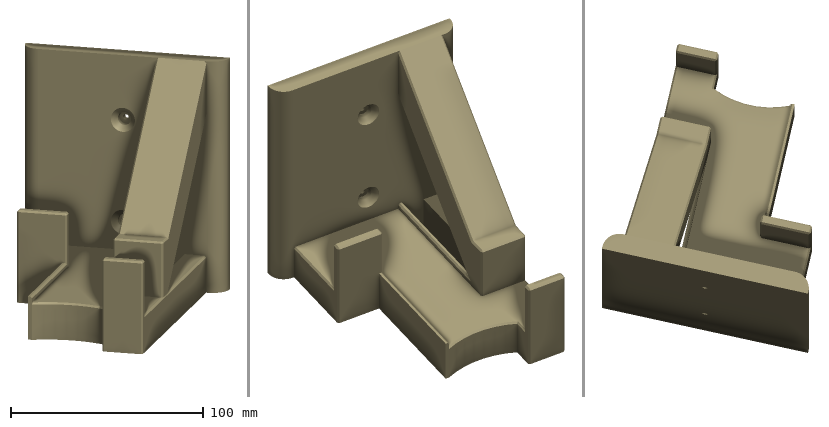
import cadquery as cq
import math

plate_width = 110.0
plate_height = 125.0
plate_thickness = 10.0
plate_round = 9.0

overall_depth = 135.0
side_inset = 10.0
shelf_half_width = plate_width / 2 - side_inset
shelf_top = 20.0
peg_top = 50.0
peg_thickness = 5.0
left_peg_width = 27.0
left_peg_front = 55.0
right_peg_width = 22.0
edge_break = 1.0

arm_front = 123.0
recess_depth = 4.5

rim_top = 23.4
rim_width = 2.2

brace_width = 27.0
brace_thickness = 20.2
brace_knee = 85.0
brace_front = 95.0
slot_width = 13.2

hole_diameter = 3.0
step_diameter = 7.0
sink_diameter = 13.0
step_depth = 6.0
hole_heights = (35.0, 90.0)

shelf_left = -shelf_half_width
shelf_right = shelf_half_width
rim_right = shelf_left + left_peg_width
rim_left = rim_right - rim_width
right_peg_left = shelf_right - right_peg_width
brace_left = shelf_right - brace_width
brace_drop = brace_thickness * math.sqrt(2)
brace_foot = plate_thickness + plate_height - brace_drop - shelf_top


def block(x_min, x_max, front, back, z_min, z_max):
    """Box between two X limits, two distances from the wall and two heights."""
    size = (x_max - x_min, front - back, z_max - z_min)
    return cq.Workplane("XY").box(*size, centered=False).translate((x_min, -front, z_min))


def make_plate():
    plate = block(-plate_width / 2, plate_width / 2, plate_thickness, 0, 0, plate_height)
    return plate.edges("|Z and <Y").fillet(plate_round)


def make_shelf():
    recess_middle = (rim_right + right_peg_left) / 2
    shelf = (
        cq.Workplane("XY")
        .moveTo(shelf_left, -plate_thickness)
        .lineTo(shelf_left, -left_peg_front + edge_break)
        .lineTo(shelf_left + edge_break, -left_peg_front)
        .lineTo(rim_left, -left_peg_front)
        .lineTo(rim_left, -arm_front)
        .lineTo(rim_right, -arm_front)
        .threePointArc((recess_middle, -arm_front + recess_depth), (right_peg_left, -arm_front))
        .lineTo(right_peg_left, -overall_depth + edge_break)
        .lineTo(shelf_right, -overall_depth + edge_break)
        .lineTo(shelf_right, -plate_thickness)
        .close()
        .extrude(shelf_top)
    )
    curved_edge = shelf.edges("%CIRCLE and >Z").vals()
    step_middle = (arm_front + overall_depth) / 2
    step_edge = shelf.edges(cq.NearestToPointSelector((right_peg_left, -step_middle, shelf_top))).vals()
    side_edges = shelf.faces("<X or >X").edges(">Z").vals()
    shelf = shelf.newObject(curved_edge + step_edge + side_edges).chamfer(edge_break)
    slot_left = brace_left + rim_width
    return shelf.cut(block(slot_left, slot_left + slot_width, brace_foot, plate_thickness, 0, shelf_top))


def make_peg(x_min, x_max, front):
    peg = block(x_min, x_max, front, front - peg_thickness, 0, peg_top)
    return peg.edges("|Z or >Z").chamfer(edge_break)


def make_left_rim():
    rim = block(rim_left, rim_right, arm_front, left_peg_front - peg_thickness / 2, 0, rim_top)
    return rim.edges(">Z and >X").chamfer(edge_break)


def make_slot_rim():
    rim = block(brace_left, brace_left + rim_width, brace_foot, plate_thickness, 0, rim_top)
    return rim.edges(">Z and <X").chamfer(edge_break)


def make_brace():
    brace = (
        cq.Workplane("YZ")
        .moveTo(-plate_thickness, plate_height)
        .lineTo(-brace_knee, peg_top)
        .lineTo(-brace_front, peg_top)
        .lineTo(-brace_front, shelf_top)
        .lineTo(-brace_foot, shelf_top)
        .lineTo(-plate_thickness, plate_height - brace_drop)
        .close()
        .extrude(brace_width)
        .translate((brace_left, 0, 0))
    )
    slope_middle = ((plate_thickness + brace_knee) / 2, (plate_height + peg_top) / 2)
    top_middle = ((brace_knee + brace_front) / 2, peg_top)
    edges = brace.faces("<Y").edges("not <Z").vals()
    for side in (brace_left, shelf_right):
        for depth, height in (slope_middle, top_middle):
            edges += brace.edges(cq.NearestToPointSelector((side, -depth, height))).vals()
    return brace.newObject(edges).chamfer(edge_break)


def make_screw_hole(height):
    sink_depth = (sink_diameter - step_diameter) / 2
    profile = (
        cq.Workplane("XY")
        .moveTo(0, 0)
        .lineTo(hole_diameter / 2, 0)
        .lineTo(hole_diameter / 2, -plate_thickness + step_depth)
        .lineTo(step_diameter / 2, -plate_thickness + step_depth)
        .lineTo(step_diameter / 2, -plate_thickness + sink_depth)
        .lineTo(sink_diameter / 2, -plate_thickness)
        .lineTo(0, -plate_thickness)
        .close()
    )
    return profile.revolve(360, (0, 0, 0), (0, 1, 0)).translate((0, 0, height))


result = make_plate().union(make_shelf())
result = result.union(make_peg(shelf_left, rim_right, left_peg_front))
result = result.union(make_peg(right_peg_left, shelf_right, overall_depth))
result = result.union(make_left_rim()).union(make_slot_rim()).union(make_brace())
for height in hole_heights:
    result = result.cut(make_screw_hole(height))